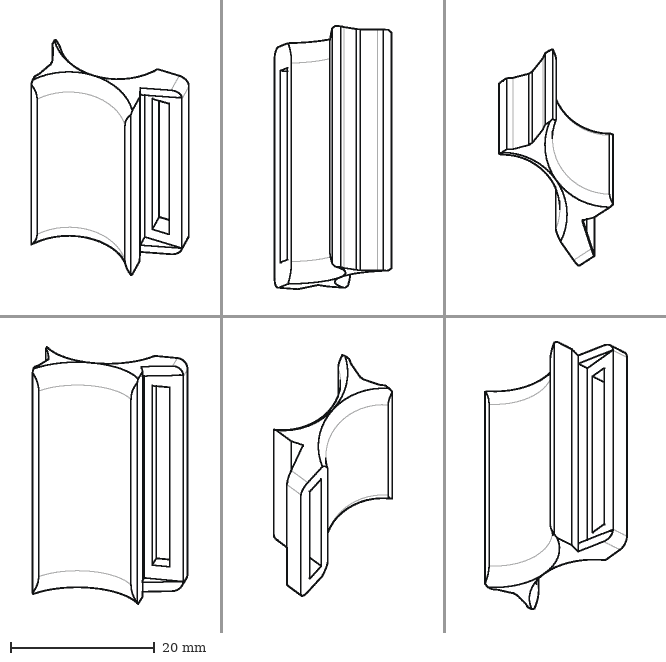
import cadquery as cq
import math

length = 34.0
body_width = 15.0
total_width = 20.0
depth = 9.0
half_depth = depth / 2

groove_radius = 8.0
groove_offset = depth
flare_length = 3.0
flare_end_radius = groove_offset
flare_growth = flare_end_radius - groove_radius
flare_arc_radius = (flare_length**2 + flare_growth**2) / (2 * flare_growth)

notch_floor_x = 1.2
notch_floor_half = 0.3
notch_bend_x = 0.45
notch_bend_y = 2.5
notch_mouth_y = 3.23

wing_root_x = 14.4
wing_root_y = 0.3
wing_tip_y = 1.97
undercut_start_y = -1.35
corner_radius = 1.5
end_rib_height = 1.43

slot_left_x = 15.55
slot_width = 2.5
slot_end_margin = 3.47


def make_profile():
    """Constant cross-section, before the grooves are cut."""
    outline = [
        (0, half_depth),
        (0, notch_mouth_y),
        (notch_bend_x, notch_bend_y),
        (notch_floor_x, notch_floor_half),
        (notch_floor_x, -notch_floor_half),
        (notch_bend_x, -notch_bend_y),
        (0, -notch_mouth_y),
        (0, -half_depth),
        (body_width, -half_depth),
        (body_width, undercut_start_y),
        (wing_root_x, wing_root_y),
        (total_width, wing_tip_y),
        (total_width, half_depth),
    ]
    return cq.Workplane("XY").polyline(outline).close().extrude(length)


def make_groove_cutter(axis_y):
    """Cylinder that widens along a tangent arc towards each end."""
    half_angle = math.asin(flare_length / flare_arc_radius) / 2
    mid_rise = flare_arc_radius * math.sin(half_angle)
    mid_radius = groove_radius + flare_arc_radius * (1 - math.cos(half_angle))
    return (
        cq.Workplane("XZ")
        .lineTo(flare_end_radius, 0)
        .threePointArc((mid_radius, flare_length - mid_rise), (groove_radius, flare_length))
        .lineTo(groove_radius, length - flare_length)
        .threePointArc((mid_radius, length - flare_length + mid_rise), (flare_end_radius, length))
        .lineTo(0, length)
        .close()
        .revolve(360, (0, 0), (0, 1))
        .translate((body_width / 2, axis_y, 0))
    )


def make_wing_recess():
    """Flattens the sloped wing face between the two end ribs."""
    return cq.Workplane("XY").box(
        total_width - wing_root_x,
        wing_tip_y - wing_root_y,
        length - 2 * end_rib_height,
        centered=False,
    ).translate((wing_root_x, wing_root_y, end_rib_height))


def make_strap_slot():
    """Long rectangular slot through the wing along Y."""
    return cq.Workplane("XY").box(
        slot_width, depth, length - 2 * slot_end_margin, centered=False
    ).translate((slot_left_x, -half_depth, slot_end_margin))


block = make_profile()
block = block.faces(">X").edges("<Z or >Z").fillet(corner_radius)
for side in (-1, 1):
    block = block.cut(make_groove_cutter(side * groove_offset))
block = block.cut(make_wing_recess())
result = block.cut(make_strap_slot())